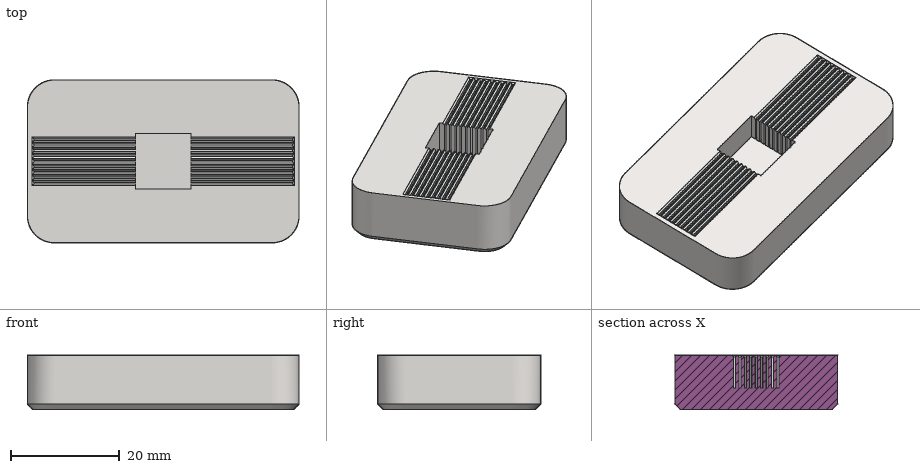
import cadquery as cq

length = 50.0
width = 30.0
height = 10.0
corner_radius = 5.0
bottom_chamfer = 1.0

pocket_side = 10.2
pocket_depth = 6.0

slit_count = 9
slit_pitch = 1.0
slit_width = 0.3
slit_bevel = 0.3
slit_mouth_length = 48.2
slit_length = slit_mouth_length - 2 * slit_bevel


def make_block():
    block = cq.Workplane("XY").box(length, width, height, centered=(True, True, False))
    block = block.edges("|Z").fillet(corner_radius)
    return block.faces("<Z").chamfer(bottom_chamfer)


def make_pocket():
    floor = cq.Workplane("XY").workplane(offset=height - pocket_depth)
    return floor.rect(pocket_side, pocket_side).extrude(pocket_depth)


def make_slit(y):
    """Straight slit whose top edge flares outward by a 45 degree bevel on all sides."""
    floor = cq.Workplane("XY").workplane(offset=height - pocket_depth).center(0, y)
    straight_slit = floor.rect(slit_length, slit_width).extrude(pocket_depth)
    mouth = (
        cq.Workplane("XY")
        .workplane(offset=height - slit_bevel)
        .center(0, y)
        .rect(slit_length, slit_width)
        .workplane(offset=slit_bevel)
        .rect(slit_mouth_length, slit_width + 2 * slit_bevel)
        .loft(ruled=True)
    )
    return straight_slit.union(mouth)


result = make_block().cut(make_pocket())
for index in range(slit_count):
    slit_y = (index - (slit_count - 1) / 2) * slit_pitch
    result = result.cut(make_slit(slit_y))